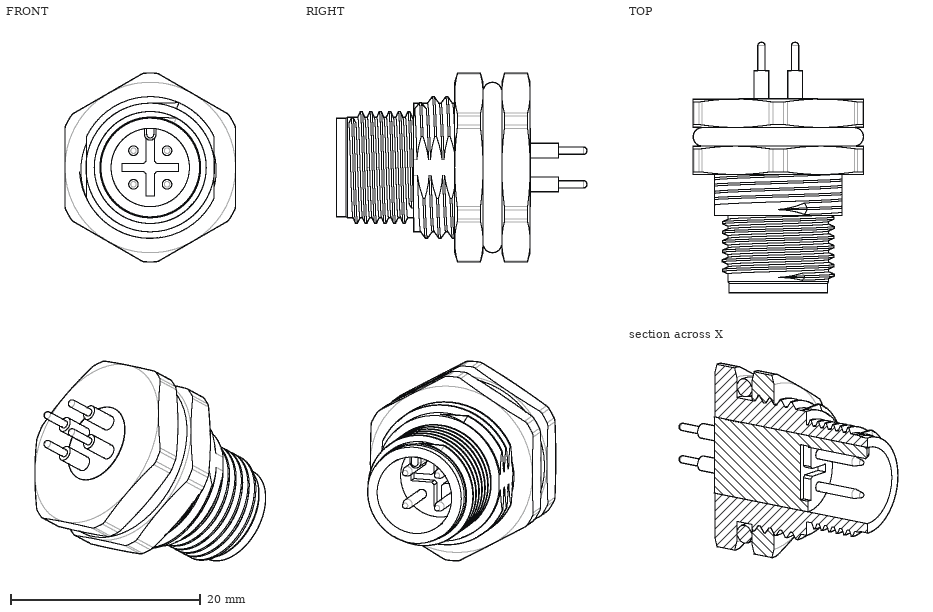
import cadquery as cq
import math


NOSE_TIP_END = 1.0
NOSE_CONE_END = 1.2
SHOULDER_Y = 8.15
NUT_Y = 12.5
HEX_THICKNESS = 3.0
FLANGE_Y = 17.5
NUT_END = NUT_Y + HEX_THICKNESS
REAR_Y = FLANGE_Y + HEX_THICKNESS
INSERT_END = REAR_Y + 0.05

BORE_DIA = 8.3
NOSE_TIP_DIA = 10.45
NOSE_DIA = 10.65
BARREL_DIA = 13.62
BARREL_FLATS = 13.52

NOSE_THREAD = dict(
    root_dia=NOSE_DIA, crest_dia=11.85, pitch=1.0, root_half=0.37, crest_half=0.1,
    start=1.62, turns=6.3, lead_angle=28,
)
BARREL_THREAD = dict(
    root_dia=BARREL_DIA, crest_dia=15.0, pitch=1.43, root_half=0.6, crest_half=0.1,
    start=8.8, turns=5, lead_angle=24,
)
TOOTH_EMBED = 0.08
LEAD_TIP_SCALE = 0.02

HEX_FLATS = 18.05
HEX_CORNER_DIA = 20.0
HEX_EDGE_RADIUS = 0.9
HEX_CHAMFER = 0.3

RING_OUTER_DIA = 18.05
RING_SECTION_DIA = FLANGE_Y - NUT_END

INSERT_FACE_Y = 7.95
CROSS_LENGTH = 6.0
CROSS_WIDTH = 0.85
CROSS_DEPTH = 1.0
CROSS_CORNER = 0.26
KEY_WIDTH = 1.22
KEY_ARC_Z = 3.5
KEY_FRONT_Y = 0.1
KEY_CHAMFER = 0.25

PIN_OFFSET = 1.78
PIN_DIA = 1.0
PIN_FRONT_Y = 2.0
PIN_NOSE_DIA = 0.58
PIN_NOSE_CONE = 0.85
PIN_SLEEVE_DIA = 1.6
PIN_SLEEVE_END = 23.5
PIN_TAIL_DIA = 0.8
PIN_TAIL_ROUNDING = 0.37
PIN_END_Y = 26.5


def revolved(outline):
    """Turn a closed outline of (radius, y) points about the Y axis."""
    return cq.Workplane("XY").polyline(outline).close().revolve(360, (0, 0, 0), (0, 1, 0))


def cylinder(diameter, y_from, y_to):
    radius = diameter / 2
    return revolved([(0, y_from), (radius, y_from), (radius, y_to), (0, y_to)])


def along_y(y_from):
    """Workplane facing -Y, so that a negative extrusion runs toward +Y."""
    return cq.Workplane("XZ", origin=(0, y_from, 0))


def tooth_wire(root_dia, root_half, crest_height, crest_half):
    """Tooth section in the XZ plane, centred on Z = 0, with its flanks extended into the core."""
    root = root_dia / 2
    crest = root + crest_height
    foot_half = root_half + TOOTH_EMBED * (root_half - crest_half) / crest_height
    outline = [
        (root - TOOTH_EMBED, -foot_half), (crest, -crest_half),
        (crest, crest_half), (root - TOOTH_EMBED, foot_half),
    ]
    return cq.Wire.makePolygon([cq.Vector(r, 0, z) for r, z in outline], close=True)


def thread_tooth(root_dia, crest_dia, pitch, root_half, crest_half, start, turns, lead_angle):
    """Right-hand tooth that rises out of the core at the top (+Z) of the connector."""
    crest_height = (crest_dia - root_dia) / 2
    lead_advance = pitch * lead_angle / 360
    axis_start = cq.Vector(0, 0, 0)
    axis_end = cq.Vector(0, 0, 1)

    full = tooth_wire(root_dia, root_half, crest_height, crest_half)
    helix = cq.Wire.makeHelix(pitch, pitch * turns, root_dia / 2)
    tooth = cq.Solid.sweep(full, [], helix, True, True)

    tip = tooth_wire(
        root_dia, root_half * LEAD_TIP_SCALE, crest_height * LEAD_TIP_SCALE, crest_half * LEAD_TIP_SCALE
    )
    tip = tip.rotate(axis_start, axis_end, -lead_angle).translate(cq.Vector(0, 0, -lead_advance))
    lead_in = cq.Solid.makeLoft([tip, full], True)

    parts = []
    for part in (tooth, lead_in):
        part = part.rotate(axis_start, axis_end, lead_angle - 90)
        part = part.translate(cq.Vector(0, 0, start + lead_advance))
        parts.append(part.rotate(axis_start, cq.Vector(1, 0, 0), -90))
    return cq.Workplane(parts[0]).union(cq.Workplane(parts[1]))


def hexagon(y_from):
    """Hexagonal plate with rounded corners and both rims chamfered."""
    y_to = y_from + HEX_THICKNESS
    corner_radius = HEX_CORNER_DIA / 2
    rim_radius = HEX_FLATS / 2
    point_dia = HEX_FLATS / math.cos(math.pi / 6)
    plate = along_y(y_from).transformed(rotate=(0, 0, 30)).polygon(6, point_dia).extrude(-HEX_THICKNESS)
    plate = plate.intersect(cylinder(HEX_CORNER_DIA, y_from, y_to))
    plate = plate.edges("|Y").fillet(HEX_EDGE_RADIUS)
    envelope = revolved([
        (0, y_from), (rim_radius, y_from), (corner_radius, y_from + HEX_CHAMFER),
        (corner_radius, y_to - HEX_CHAMFER), (rim_radius, y_to), (0, y_to),
    ])
    return plate.intersect(envelope)


def threaded_barrel():
    """Round barrel with its thread, cut off level with the back of the nut."""
    tooth = thread_tooth(**BARREL_THREAD)
    tooth = tooth.intersect(cylinder(HEX_CORNER_DIA, SHOULDER_Y, NUT_END))
    return cylinder(BARREL_DIA, SHOULDER_Y, FLANGE_Y).union(tooth)


def threaded_nose():
    """Nose with a plain, slightly thinner tip and a thread that runs up to the shoulder."""
    tip_radius = NOSE_TIP_DIA / 2
    nose_radius = NOSE_DIA / 2
    core = revolved([
        (0, 0), (tip_radius, 0), (tip_radius, NOSE_TIP_END), (nose_radius, NOSE_CONE_END),
        (nose_radius, SHOULDER_Y), (0, SHOULDER_Y),
    ])
    tooth = thread_tooth(**NOSE_THREAD)
    return core.union(tooth.intersect(cylinder(BARREL_DIA, 0, SHOULDER_Y)))


def make_housing(barrel):
    """Threaded nose and flatted barrel in front of a hexagonal flange, with a bore right through."""
    flatted = along_y(SHOULDER_Y).rect(BARREL_FLATS, HEX_CORNER_DIA).extrude(SHOULDER_Y - NUT_END)
    neck = cylinder(HEX_CORNER_DIA, NUT_END, FLANGE_Y)
    body = barrel.intersect(flatted.union(neck))
    body = body.union(hexagon(FLANGE_Y)).union(threaded_nose())
    return body.cut(cylinder(BORE_DIA, 0, REAR_Y))


def make_nut(barrel):
    """Nut whose internal thread is the counterpart of the barrel thread."""
    return hexagon(NUT_Y).cut(barrel)


def make_ring():
    section_radius = RING_SECTION_DIA / 2
    centre_radius = RING_OUTER_DIA / 2 - section_radius
    centre_y = (NUT_END + FLANGE_Y) / 2
    section = cq.Workplane("XY").center(centre_radius, centre_y).circle(section_radius)
    return section.revolve(360, (-centre_radius, 0, 0), (-centre_radius, 1, 0))


def make_key():
    """Coding key on the top of the bore, with a half-round underside."""
    half = KEY_WIDTH / 2
    top = BORE_DIA / 2
    key = (
        along_y(KEY_FRONT_Y)
        .moveTo(-half, top)
        .lineTo(-half, KEY_ARC_Z)
        .threePointArc((0, KEY_ARC_Z - half), (half, KEY_ARC_Z))
        .lineTo(half, top)
        .close()
        .extrude(KEY_FRONT_Y - INSERT_FACE_Y)
    )
    sides = cq.selectors.BoxSelector((-top, KEY_FRONT_Y - 0.26, 0), (top, KEY_FRONT_Y + 0.26, top - 0.03))
    key = key.edges(sides).chamfer(KEY_CHAMFER)
    return key.intersect(cylinder(BORE_DIA, 0, INSERT_FACE_Y))


def make_insert(pins):
    body = cylinder(BORE_DIA, INSERT_FACE_Y, INSERT_END).union(make_key())
    cross = along_y(INSERT_FACE_Y).rect(CROSS_LENGTH, CROSS_WIDTH).extrude(-CROSS_DEPTH)
    cross = cross.union(along_y(INSERT_FACE_Y).rect(CROSS_WIDTH, CROSS_LENGTH).extrude(-CROSS_DEPTH))
    inner = cq.selectors.BoxSelector(
        (-CROSS_WIDTH, INSERT_FACE_Y, -CROSS_WIDTH),
        (CROSS_WIDTH, INSERT_FACE_Y + CROSS_DEPTH, CROSS_WIDTH),
    )
    cross = cross.edges("|Y").edges(inner).chamfer(CROSS_CORNER)
    body = body.cut(cross)
    for pin in pins:
        body = body.cut(pin)
    return body


def make_pin(x, z):
    """Stepped pin: domed and coned contact nose, shank, sleeve behind the insert and solder tail."""
    nose = PIN_NOSE_DIA / 2
    shank = PIN_DIA / 2
    sleeve = PIN_SLEEVE_DIA / 2
    tail = PIN_TAIL_DIA / 2
    cone_start = PIN_FRONT_Y + nose
    dome_middle = nose * math.sqrt(0.5)
    pin = (
        cq.Workplane("XY")
        .moveTo(0, PIN_FRONT_Y)
        .threePointArc((dome_middle, cone_start - dome_middle), (nose, cone_start))
        .lineTo(shank, cone_start + PIN_NOSE_CONE)
        .lineTo(shank, INSERT_END)
        .lineTo(sleeve, INSERT_END)
        .lineTo(sleeve, PIN_SLEEVE_END)
        .lineTo(tail, PIN_SLEEVE_END)
        .lineTo(tail, PIN_END_Y)
        .lineTo(0, PIN_END_Y)
        .close()
        .revolve(360, (0, 0, 0), (0, 1, 0))
    )
    pin = pin.faces(">Y").edges().fillet(PIN_TAIL_ROUNDING)
    return pin.translate((x, 0, z))


threaded = threaded_barrel()
housing = make_housing(threaded)
nut = make_nut(threaded)
ring = make_ring()
contact_pins = []
for pin_x in (-PIN_OFFSET, PIN_OFFSET):
    for pin_z in (-PIN_OFFSET, PIN_OFFSET):
        contact_pins.append(make_pin(pin_x, pin_z))
insert = make_insert(contact_pins)

result = cq.Compound.makeCompound(
    [housing.val(), nut.val(), ring.val(), insert.val(), *[pin.val() for pin in contact_pins]]
)